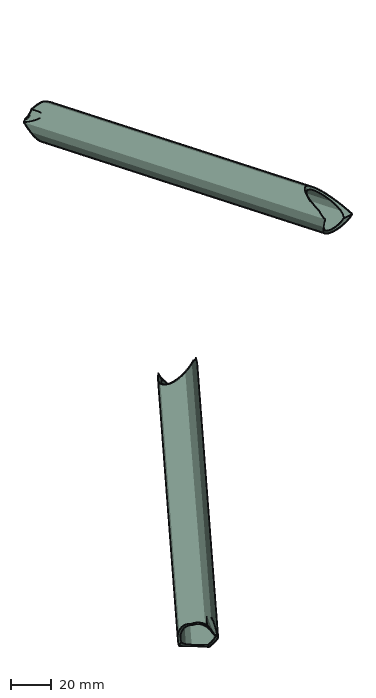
import cadquery as cq
tube_radius = 10.0
wall = 1.45
neighbour_length = 116.5
end_allowance = 15.5

near_node = cq.Vector(-99.3, -40.7, -33.0)
far_node = cq.Vector(95.0, 41.3, 34.0)

far_neighbours = [
    (cq.Vector(0, 0, 0), cq.Vector(0.94, 0.05, -0.35)),
    (cq.Vector(0, 0.2, 0), cq.Vector(0.55, 0, -0.84)),
]
near_neighbours = [
    (cq.Vector(0, 0.4, -0.5), cq.Vector(0.55, -0.63, -0.55)),
    (cq.Vector(-0.2, 0.5, 0), cq.Vector(-0.51, -0.22, 0.83)),
]

grazing_offset = cq.Vector(3.3, -16.0, 10.0)
grazing_direction = cq.Vector(0.55, 0.56, 0.62)

tube_axis = (far_node - near_node).normalized()


def neighbour_envelope(center, direction):
    """Solid envelope of a neighbouring tube, centred on a point of its axis."""
    axis = direction.normalized()
    start = center - axis * (neighbour_length / 2)
    return cq.Workplane(cq.Solid.makeCylinder(tube_radius, neighbour_length, start, axis))


def miter_tool(center, direction, outward, backing_width=neighbour_length):
    """Envelope of a neighbouring tube, together with a block filling the space behind its axis."""
    across = direction.cross(outward)
    behind = across.cross(direction)
    axis_plane = cq.Plane(origin=center, xDir=across, normal=behind)
    backing = cq.Workplane(axis_plane).rect(backing_width, neighbour_length).extrude(neighbour_length / 2)
    return backing.union(neighbour_envelope(center, direction))


def uncut_tube():
    """Hollow tube with square ends, running past both nodes so that the miters shape its ends."""
    start = near_node - tube_axis * end_allowance
    length = (far_node - near_node).Length + 2 * end_allowance
    outer = cq.Solid.makeCylinder(tube_radius, length, start, tube_axis)
    bore = cq.Solid.makeCylinder(tube_radius - wall, length, start, tube_axis)
    return cq.Workplane(outer).cut(cq.Workplane(bore))


tube = uncut_tube()
for offset, direction in near_neighbours:
    tube = tube.cut(miter_tool(near_node + offset, direction, -tube_axis))
for offset, direction in far_neighbours:
    tube = tube.cut(miter_tool(far_node + offset, direction, tube_axis))
notch_tool = miter_tool(near_node + grazing_offset, grazing_direction, -tube_axis, 2 * tube_radius)
tube = tube.cut(notch_tool)

result = cq.Workplane(max(tube.solids().vals(), key=lambda piece: piece.Volume()))